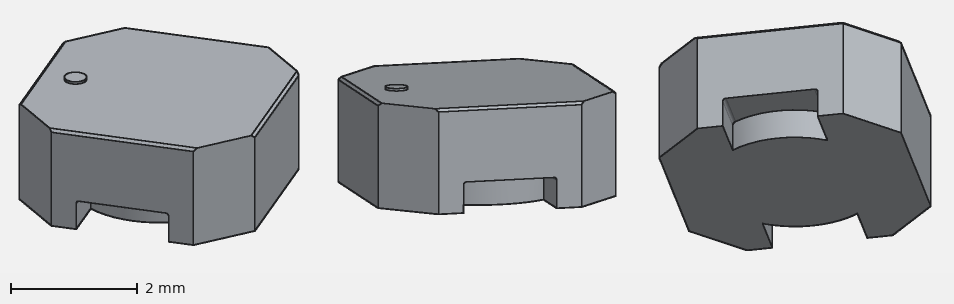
import cadquery as cq

width = 3.9
corner_cut = 0.775
body_height = 1.693
top_chamfer = 0.045

marker_diameter = 0.35
marker_height = 0.04
marker_x = -1.35
marker_y = -0.1

slot_width = 1.53
slot_height = 0.5
slot_corner_radius = 0.05
core_radius = 1.4


def make_body():
    """Square block with its four vertical corners cut away."""
    body = cq.Workplane("XY").box(width, width, body_height, centered=(True, True, False))
    body = body.edges("|Z").chamfer(corner_cut)
    straight_edges = body.faces(">Z").edges("|X or |Y")
    marked_corner_edge = body.faces(">Z").edges("<(1, -1, 0)")
    return straight_edges.add(marked_corner_edge).chamfer(top_chamfer)


def make_slots():
    """Slots open at the bottom of the -Y and +Y sides, stopping at the round core."""
    slot = cq.Workplane("XY").box(slot_width, width, slot_height, centered=(True, True, False))
    slot = slot.edges("|Y and >Z").fillet(slot_corner_radius)
    core = cq.Workplane("XY").circle(core_radius).extrude(slot_height)
    return slot.cut(core)


def make_marker():
    """Low round disc standing on the top face."""
    disc = cq.Workplane("XY").workplane(offset=body_height)
    return disc.center(marker_x, marker_y).circle(marker_diameter / 2).extrude(marker_height)


result = make_body().cut(make_slots()).union(make_marker())